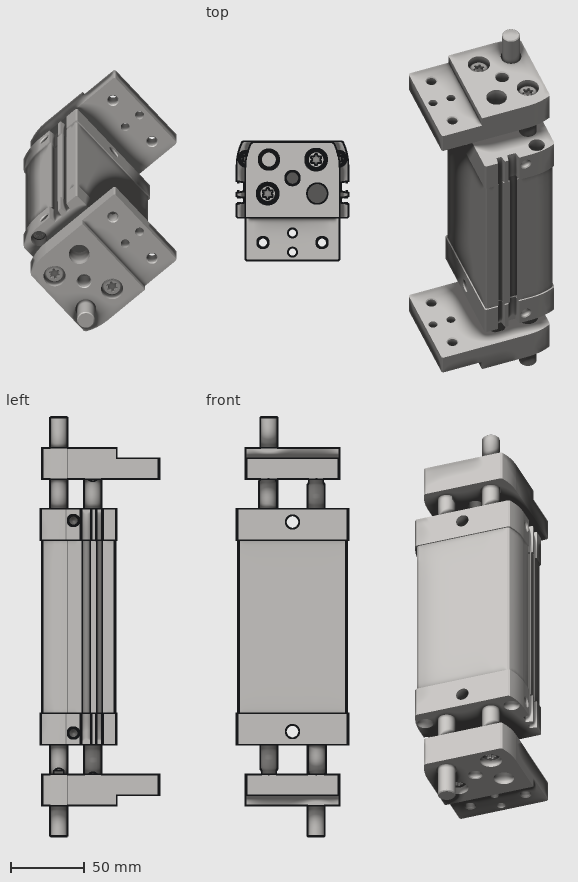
import cadquery as cq
import math


housing_height = 160.0
cap_height = 21.4
cap_width = 76.0
cap_depth = 52.0
tube_inset = 0.9
tube_width = cap_width - 2 * tube_inset
corner_chamfer = 0.9
shoulder_width = 4.1
shoulder_depth = 17.3
half_height = housing_height / 2
tube_height = housing_height - 2 * cap_height

wide_groove_y = 20.9
wide_groove_cap_width = 6.0
wide_groove_tube_width = 5.4
t_slot_width = 9.0
t_slot_lip = 0.8
narrow_groove_y = 11.9
narrow_groove_cap_width = 3.4
narrow_groove_tube_width = 3.6
round_groove_diameter = 4.13
groove_depth = 5.0
groove_flare = 0.9

port_diameter = 8.92
port_z = 71.0
side_hole_diameter = 6.65
side_hole_rim = 8.0
side_hole_depth = 8.0
side_hole_y = 29.5
side_hole_z = 72.0
drill_point_angle = 118.0
cap_screw_x = 31.2
cap_screw_y = 40.0
cap_screw_bore = 11.0
cap_screw_head = 10.11
cap_screw_sink = 9.0
cap_screw_head_height = 6.0

rod_diameter = 12.0
rod_end_chamfer = 0.7
long_rod_x = 16.0
long_rod_y = 39.4
short_rod_x = 16.8
short_rod_y = 16.4
long_rod_reach = 142.2
short_rod_end_z = cap_height - half_height
flat_depth = 1.0
flat_slope = 1.75
flat_length = 8.0
long_rod_flat = 4.1
short_rod_flat = 1.4

plate_gap = 20.0
plate_thickness = 21.2
plate_width = 64.0
plate_back = cap_depth - 1.0
plate_front = plate_back - 80.0
nose_step = 7.0
rod_clearance = 14.0
plate_screw_bore = 15.0
plate_screw_head = 13.0
plate_screw_sink = 4.0
plate_screw_head_height = 5.0
center_hole_diameter = 8.92
center_hole_rim = 10.11
center_hole_y = 26.9
nose_thread_diameter = 6.65
nose_thread_rim = 8.0
nose_thread_x = 20.0
nose_hole_y = -16.8
nose_pin_diameter = 6.0
nose_pin_pitch = 13.0
plate_inner_z = half_height + plate_gap
plate_outer_z = plate_inner_z + plate_thickness

socket_depth = 3.0
lobe_count = 6
socket_core_ratio = 0.42
lobe_circle_ratio = 0.46
lobe_ratio = 0.14
first_lobe_angle = 90.0
head_chamfer = 1.0

sides = (-1, 1)


def cylinder(x, y, z_low, z_high, diameter):
    return cq.Workplane("XY", origin=(x, y, z_low)).circle(diameter / 2).extrude(z_high - z_low)


def shouldered_block(width, y_front, y_back, z_low, z_high):
    """Block with rounded rear shoulders, tangent to its sides, and chamfered corners."""
    half = width / 2
    back_half = half - shoulder_width
    y_tangent = y_back - shoulder_depth
    radius = (shoulder_width**2 + shoulder_depth**2) / (2 * shoulder_width)
    mid_angle = math.asin(shoulder_depth / radius) / 2
    mid_x = half - radius * (1 - math.cos(mid_angle))
    mid_y = y_tangent + radius * math.sin(mid_angle)
    return (
        cq.Workplane("XY", origin=(0, 0, z_low))
        .moveTo(-half, y_front)
        .lineTo(half, y_front)
        .lineTo(half, y_tangent)
        .threePointArc((mid_x, mid_y), (back_half, y_back))
        .lineTo(-back_half, y_back)
        .threePointArc((-mid_x, mid_y), (-half, y_tangent))
        .close()
        .extrude(z_high - z_low)
        .edges("|Z and (<Y or >Y)")
        .chamfer(corner_chamfer)
    )


def screw_head(x, y, z_seat, z_top, diameter):
    """Cap screw head with a six-lobe socket in its top face."""
    lobe_diameter = diameter * lobe_ratio
    lobe_circle_diameter = diameter * lobe_circle_ratio
    core_diameter = diameter * socket_core_ratio
    socket_origin = (x, y, z_top - socket_depth)
    core = cq.Workplane("XY", origin=socket_origin).circle(core_diameter / 2).extrude(socket_depth)
    lobes = (
        cq.Workplane("XY", origin=socket_origin)
        .polarArray(lobe_circle_diameter / 2, first_lobe_angle, 360, lobe_count)
        .circle(lobe_diameter / 2)
        .extrude(socket_depth)
    )
    head = cylinder(x, y, z_seat, z_top, diameter).faces(">Z").chamfer(head_chamfer)
    return head.cut(core).cut(lobes)


def cap_groove(side, y_center, floor_width, z_low):
    """Groove through an end cap that widens from its floor to its mouth."""
    x_mouth = side * cap_width / 2
    x_floor = side * (cap_width / 2 - groove_depth)
    floor_half = floor_width / 2
    mouth_half = floor_half + groove_flare
    return (
        cq.Workplane("XY", origin=(0, 0, z_low))
        .polyline([
            (x_floor, y_center - floor_half),
            (x_mouth, y_center - mouth_half),
            (x_mouth, y_center + mouth_half),
            (x_floor, y_center + floor_half),
        ])
        .close()
        .extrude(cap_height)
    )


def tube_slot(side, y_center, slot_width, depth_from, depth_to):
    """Rectangular slot along the tube between two depths below its side face."""
    x_center = side * (tube_width - depth_from - depth_to) / 2
    return (
        cq.Workplane("XY")
        .box(depth_to - depth_from, slot_width, tube_height)
        .translate((x_center, y_center, 0))
    )


def tube_grooves(side):
    """T-slot and round-bottomed groove along one side of the tube."""
    center_depth = groove_depth - round_groove_diameter / 2
    round_x = side * (tube_width / 2 - center_depth)
    half_tube = tube_height / 2
    mouth = tube_slot(side, wide_groove_y, wide_groove_tube_width, 0, groove_depth)
    undercut = tube_slot(side, wide_groove_y, t_slot_width, t_slot_lip, groove_depth)
    round_mouth = tube_slot(side, narrow_groove_y, narrow_groove_tube_width, 0, center_depth)
    round_groove = cylinder(round_x, narrow_groove_y, -half_tube, half_tube, round_groove_diameter)
    return [mouth, undercut, round_mouth, round_groove]


def side_hole(side, z):
    """Blind hole from one side, with a countersunk rim and a drill point."""
    x_mouth = cap_width / 2
    radius = side_hole_diameter / 2
    rim_radius = side_hole_rim / 2
    point_length = radius / math.tan(math.radians(drill_point_angle / 2))
    x_floor = x_mouth - side_hole_depth
    drill = (
        cq.Workplane("XY")
        .moveTo(x_mouth, 0)
        .lineTo(x_mouth, rim_radius)
        .lineTo(x_mouth - (rim_radius - radius), radius)
        .lineTo(x_floor, radius)
        .lineTo(x_floor - point_length, 0)
        .close()
        .revolve(360, (0, 0, 0), (1, 0, 0))
    )
    if side < 0:
        drill = drill.mirror("YZ")
    return drill.translate((0, side_hole_y, z))


def end_cap(end):
    """End cap at the upper (end = 1) or lower (end = -1) end of the housing."""
    z_face = end * half_height
    z_low = min(z_face, z_face - end * cap_height)
    cap = shouldered_block(cap_width, 0, cap_depth, z_low, z_low + cap_height)
    port = (
        cq.Workplane("XZ", origin=(0, 0, end * port_z))
        .circle(port_diameter / 2)
        .extrude(-cap_depth)
    )
    cap = cap.cut(port)
    for side in sides:
        cap = cap.cut(cap_groove(side, wide_groove_y, wide_groove_cap_width, z_low))
        cap = cap.cut(cap_groove(side, narrow_groove_y, narrow_groove_cap_width, z_low))
        cap = cap.cut(side_hole(side, end * side_hole_z))
        cap = cap.cut(cap_screw_pocket(side, end))
    return cap


def cap_screw_pocket(side, end):
    """Sunk cap screw: the counterbore down to its seat, less the head that stands in it."""
    z_seat = half_height - cap_screw_sink - cap_screw_head_height
    x = side * cap_screw_x
    bore = cylinder(x, cap_screw_y, z_seat, half_height, cap_screw_bore)
    head = screw_head(x, cap_screw_y, z_seat, half_height - cap_screw_sink, cap_screw_head)
    pocket = bore.cut(head)
    return pocket if end > 0 else pocket.mirror("XY")


def long_rod():
    """Rod fixed in the upper plate that passes through the housing and the lower plate."""
    rod = cylinder(long_rod_x, long_rod_y, -long_rod_reach, plate_inner_z, rod_diameter)
    rod = rod.faces("<Z").chamfer(rod_end_chamfer)
    return rod.cut(wrench_flats(long_rod_x, long_rod_y, long_rod_flat))


def short_rod():
    """Rod fixed in the upper plate that ends inside the housing."""
    rod = cylinder(-short_rod_x, short_rod_y, short_rod_end_z, plate_inner_z, rod_diameter)
    return rod.cut(wrench_flats(-short_rod_x, short_rod_y, short_rod_flat))


def wrench_flats(x, y, reach):
    """Pair of flats facing +X and -X that run out with a slope below the plate."""
    radius = rod_diameter / 2
    z_runout = plate_inner_z - reach
    flat = (
        cq.Workplane("XZ", origin=(x, y, 0))
        .moveTo(radius, z_runout)
        .lineTo(radius - flat_depth, z_runout + flat_slope)
        .lineTo(radius - flat_depth, z_runout + flat_length)
        .lineTo(radius, z_runout + flat_length)
        .close()
        .extrude(radius, both=True)
    )
    opposite = flat.mirror("YZ", (x, y, 0))
    return flat.union(opposite)


def plate():
    """Upper plate with its stepped nose, holes and rod screws."""
    body = shouldered_block(plate_width, plate_front, plate_back, plate_inner_z, plate_outer_z)
    z_nose = plate_outer_z - nose_step
    step = (
        cq.Workplane("XY")
        .box(plate_width, -plate_front, nose_step, centered=(True, False, False))
        .translate((0, plate_front, z_nose))
    )
    body = body.cut(step)

    through_holes = [
        (-long_rod_x, long_rod_y, rod_clearance),
        (short_rod_x, short_rod_y, rod_clearance),
        (0, nose_hole_y - nose_pin_pitch / 2, nose_pin_diameter),
        (0, nose_hole_y + nose_pin_pitch / 2, nose_pin_diameter),
    ]
    for x, y, diameter in through_holes:
        body = body.cut(cylinder(x, y, plate_inner_z, plate_outer_z, diameter))

    body = body.cut(rimmed_hole(0, center_hole_y, plate_outer_z, center_hole_diameter, center_hole_rim))
    for side in sides:
        x = side * nose_thread_x
        body = body.cut(rimmed_hole(x, nose_hole_y, z_nose, nose_thread_diameter, nose_thread_rim))

    z_screw_top = plate_outer_z - plate_screw_sink
    z_seat = z_screw_top - plate_screw_head_height
    for x, y in [(long_rod_x, long_rod_y), (-short_rod_x, short_rod_y)]:
        body = body.cut(cylinder(x, y, z_seat, plate_outer_z, plate_screw_bore))
        body = body.union(screw_head(x, y, z_seat, z_screw_top, plate_screw_head))
    return body


def rimmed_hole(x, y, z_top, diameter, rim_diameter):
    """Through hole from the plate's inner face up to z_top, countersunk on both faces."""
    radius = diameter / 2
    rim_radius = rim_diameter / 2
    sink = rim_radius - radius
    return (
        cq.Workplane("XZ")
        .moveTo(0, plate_inner_z)
        .lineTo(rim_radius, plate_inner_z)
        .lineTo(radius, plate_inner_z + sink)
        .lineTo(radius, z_top - sink)
        .lineTo(rim_radius, z_top)
        .lineTo(0, z_top)
        .close()
        .revolve(360, (0, 0, 0), (0, 1, 0))
        .translate((x, y, 0))
    )


def carriage():
    """Upper plate with its two rods, as one solid."""
    return plate().union(long_rod()).union(short_rod())


def housing():
    """Grooved tube between two end caps, bored for the rods of both carriages."""
    tube = shouldered_block(
        tube_width, tube_inset, cap_depth - tube_inset, -tube_height / 2, tube_height / 2
    )
    for side in sides:
        for groove in tube_grooves(side):
            tube = tube.cut(groove)
    body = tube.union(end_cap(1)).union(end_cap(-1))
    for side in sides:
        body = body.cut(cylinder(side * long_rod_x, long_rod_y, -half_height, half_height, rod_diameter))
    upper_bore = cylinder(-short_rod_x, short_rod_y, short_rod_end_z, half_height, rod_diameter)
    lower_bore = cylinder(short_rod_x, short_rod_y, -half_height, -short_rod_end_z, rod_diameter)
    return body.cut(upper_bore).cut(lower_bore)


upper_carriage = carriage()
lower_carriage = upper_carriage.rotate((0, 0, 0), (0, 1, 0), 180)

result = cq.Compound.makeCompound([housing().val(), upper_carriage.val(), lower_carriage.val()])